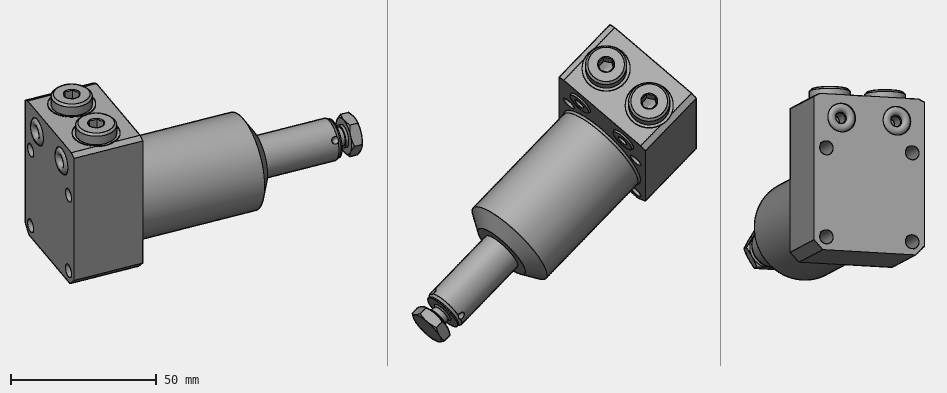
import cadquery as cq
import math


overall_length = 116.0

block_width = 40.0
block_depth = 26.0
block_bottom = -block_width / 2
block_top = 34.3
bottom_chamfer = 3.2
top_chamfer_width = 2.2
top_chamfer_height = 1.0

mount_spacing = 31.0
mount_diameter = 4.9

port_x_positions = (-10.0, 10.0)
port_z = 26.3
port_diameter = 4.0
boss_height = 0.7
boss_base_radius = 4.6
boss_end_radius = 4.3

ring_section_radius = 1.5
ring_mean_radius = 3.5
ring_protrusion = 0.8
ring_seat_radius = ring_mean_radius + ring_section_radius
ring_seat_depth = 2 * ring_section_radius - ring_protrusion

plug_y = block_depth / 2
plug_head_radius = 7.1
plug_head_height = 4.0
plug_head_chamfer = 0.8
plug_shank_radius = 4.9
plug_reach_past_port_axis = 0.7
plug_bottom = port_z - plug_reach_past_port_axis
socket_across_flats = 5.0
socket_corner_radius = socket_across_flats / math.sqrt(3)
socket_depth = 4.2
socket_turn = 30
socket_tip_depth = socket_depth + socket_corner_radius / math.sqrt(3)
socket_countersink_radius = 2.9
spotface_radius = 8.2
spotface_depth = 0.3
spotface_floor = block_top - spotface_depth
plug_top = block_top + plug_head_height

barrel_radius = 17.4
barrel_foot_radius = 17.7
barrel_foot_length = 0.9
barrel_cone_end_radius = 11.0
barrel_cone_length = 4.1
barrel_length = 51.3
stem_radius = 7.5
stem_tip_radius = 7.0
stem_tip_length = 0.5
stem_taper_length = 1.0

hex_across_flats = 13.0
hex_height = 4.1
hex_end_radius = hex_across_flats / 2
hex_chamfer_angle = 30
collar_radius = 4.1
collar_length = 1.0
neck_radius = 3.4
neck_length = 0.9
waist_radius = 3.1
waist_length = 1.3
flare_radius = 3.8
flare_length = 0.6

barrel_end = block_depth + barrel_length
screw_end = overall_length - ring_protrusion
hex_base = screw_end - hex_height
collar_base = hex_base - collar_length
neck_base = collar_base - neck_length
waist_base = neck_base - waist_length
stem_end = waist_base - flare_length

dimple_radius = 1.4
dimple_elevation = 30
dimple_setback = 2.3
dimple_y = stem_end - dimple_setback


def turned(profile, x=0, z=0):
    """Revolve (radius, y) points around the line parallel to Y through (x, z)."""
    solid = cq.Workplane("XY").polyline(profile).close().revolve(360, (0, 0, 0), (0, 1, 0))
    return solid.translate((x, 0, z))


def turned_upright(profile, x, y):
    """Revolve (radius, z) points around the line parallel to Z through (x, y)."""
    solid = cq.Workplane("XZ").polyline(profile).close().revolve(360, (0, 0, 0), (0, 1, 0))
    return solid.translate((x, y, 0))


def cylinder_y(x, z, radius, start, end):
    return turned([(0, start), (radius, start), (radius, end), (0, end)], x, z)


def make_block():
    half = block_width / 2
    half_outline = [
        (half - bottom_chamfer, block_bottom),
        (half, block_bottom + bottom_chamfer),
        (half, block_top - top_chamfer_height),
        (half - top_chamfer_width, block_top),
    ]
    mirrored = [(-x, z) for x, z in reversed(half_outline)]
    return cq.Workplane("XZ").polyline(half_outline + mirrored).close().extrude(-block_depth)


def make_barrel_and_stem():
    cone_start = barrel_end - barrel_cone_length
    taper_end = stem_end - stem_tip_length
    return turned([
        (0, block_depth),
        (barrel_foot_radius, block_depth),
        (barrel_radius, block_depth + barrel_foot_length),
        (barrel_radius, cone_start),
        (barrel_cone_end_radius, barrel_end),
        (stem_radius, barrel_end),
        (stem_radius, taper_end - stem_taper_length),
        (stem_tip_radius, taper_end),
        (stem_tip_radius, stem_end),
        (flare_radius, stem_end),
        (waist_radius, waist_base),
        (neck_radius, neck_base),
        (neck_radius, collar_base),
        (collar_radius, collar_base),
        (collar_radius, hex_base),
        (0, hex_base),
    ])


def make_hex_head():
    across_corners = hex_across_flats * 2 / math.sqrt(3)
    prism = cq.Workplane("XZ", origin=(0, hex_base, 0)).polygon(6, across_corners).extrude(-hex_height)
    corner_radius = across_corners / 2
    drop = (corner_radius - hex_end_radius) * math.tan(math.radians(hex_chamfer_angle))
    rounding = turned([
        (0, hex_base),
        (hex_end_radius, hex_base),
        (corner_radius, hex_base + drop),
        (corner_radius, screw_end - drop),
        (hex_end_radius, screw_end),
        (0, screw_end),
    ])
    return prism.intersect(rounding)


def make_spanner_dimple(angle):
    """Conical dimple in the stem, at an angle from +X towards +Z."""
    dimple = (
        cq.Workplane("XY")
        .polyline([
            (stem_radius - dimple_radius, dimple_y),
            (stem_radius + dimple_radius, dimple_y),
            (stem_radius + dimple_radius, dimple_y + 2 * dimple_radius),
        ])
        .close()
        .revolve(360, (0, dimple_y, 0), (1, dimple_y, 0))
    )
    return dimple.rotate((0, 0, 0), (0, 1, 0), -angle)


def make_port_boss(x):
    boss_end = block_depth + boss_height
    profile = [(0, block_depth), (boss_base_radius, block_depth), (boss_end_radius, boss_end), (0, boss_end)]
    return turned(profile, x, port_z)


def make_plug_blank(x):
    """Plug without its socket; it also shapes the hole in the block."""
    shank = (
        cq.Workplane("XY", origin=(x, plug_y, plug_bottom))
        .circle(plug_shank_radius)
        .extrude(spotface_floor - plug_bottom)
    )
    head = (
        cq.Workplane("XY", origin=(x, plug_y, spotface_floor))
        .circle(plug_head_radius)
        .extrude(plug_top - spotface_floor)
        .faces(">Z")
        .chamfer(plug_head_chamfer)
    )
    return shank.union(head)


def make_plug(x):
    """Plug with a countersunk hexagon socket that ends in a cone."""
    prism = (
        cq.Workplane("XY", origin=(x, plug_y, plug_top))
        .polygon(6, 2 * socket_corner_radius)
        .extrude(-socket_tip_depth)
        .rotate((x, plug_y, 0), (x, plug_y, 1), socket_turn)
    )
    drilled = turned_upright([
        (0, plug_top),
        (socket_corner_radius, plug_top),
        (socket_corner_radius, plug_top - socket_depth),
        (0, plug_top - socket_tip_depth),
    ], x, plug_y)
    countersink = turned_upright([
        (0, plug_top),
        (socket_countersink_radius, plug_top),
        (0, plug_top - socket_countersink_radius),
    ], x, plug_y)
    return make_plug_blank(x).cut(prism.intersect(drilled)).cut(countersink)


def make_o_ring(x):
    center_y = ring_section_radius - ring_protrusion
    return (
        cq.Workplane("XY")
        .center(ring_mean_radius, center_y)
        .circle(ring_section_radius)
        .revolve(360, (-ring_mean_radius, 0, 0), (-ring_mean_radius, 1, 0))
        .translate((x, 0, port_z))
    )


def make_housing():
    body = make_block().union(make_barrel_and_stem()).union(make_hex_head())

    for x in port_x_positions:
        body = body.union(make_port_boss(x))
        body = body.cut(cylinder_y(x, port_z, port_diameter / 2, 0, block_depth + boss_height))
        body = body.cut(cylinder_y(x, port_z, ring_seat_radius, 0, ring_seat_depth))
        spotface = (
            cq.Workplane("XY", origin=(x, plug_y, spotface_floor))
            .circle(spotface_radius)
            .extrude(spotface_depth)
        )
        body = body.cut(spotface).cut(make_plug_blank(x))

    for x in (-mount_spacing / 2, mount_spacing / 2):
        for z in (-mount_spacing / 2, mount_spacing / 2):
            body = body.cut(cylinder_y(x, z, mount_diameter / 2, 0, block_depth))

    for angle in (dimple_elevation, 180 - dimple_elevation):
        body = body.cut(make_spanner_dimple(angle))
    return body


housing = make_housing()
plugs = [make_plug(x) for x in port_x_positions]
o_rings = [make_o_ring(x) for x in port_x_positions]

result = cq.Compound.makeCompound(
    [housing.val()] + [plug.val() for plug in plugs] + [ring.val() for ring in o_rings]
)